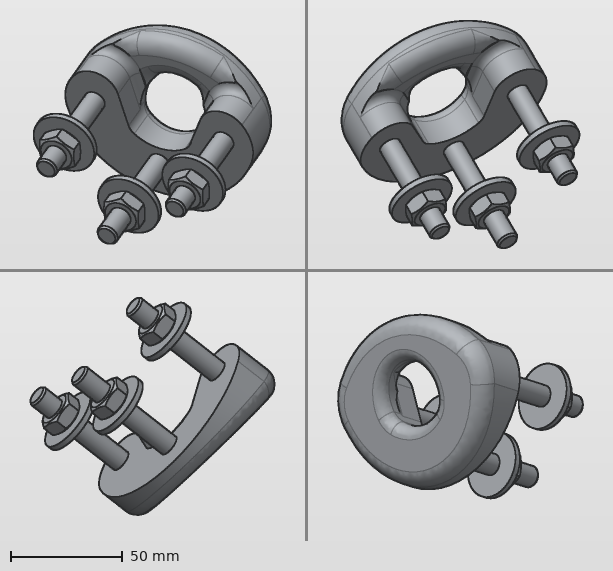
import cadquery as cq
import math


BODY_HEIGHT = 73.6
TOP_RADIUS = 55.0
BOTTOM_RADIUS = 47.5
CORNER_RADIUS = 22.0
TOP_CENTRE = (0, BODY_HEIGHT - TOP_RADIUS)
BOTTOM_CENTRE = (0, BOTTOM_RADIUS)

BACK_SLOPE = 20.3
BACK_Y_AT_BOTTOM = 10.5
BODY_DEPTH = 42.2
BACK_OUTER_FILLET = 8.0
BACK_HOLE_FILLET = 5.5

HOLE_RADIUS = 15.7
HOLE_CENTRE = (0, 37.8)
FLOOR_RADIUS = 21.2
HOLE_CORNER_RADIUS = 7.5

LOOP_FRONT_Y = 16.1
LOOP_ROUND = 8.0
LOOP_ROUND_END = 0.1
OUTER_ROUND_ANGLE = 22.0
OUTER_FADE_ANGLE = 33.5
INNER_ROUND_ANGLE = 34.5
INNER_FADE_ANGLE = 65.0
FADE_STEPS = 4

BOLT_SPACING = 63.8
BOSS_RADIUS = 12.0
BOSS_FILLET = 4.0

UPPER_BOLT_Z = 42.5
LOWER_BOLT_Z = 17.5
BOLT_DIAMETER = 10.0
UPPER_BOLT_LENGTH = 51.2
LOWER_BOLT_LENGTH = 55.2
BOLT_EMBED = 4.7
BOLT_CHAMFER_LENGTH = 1.0
BOLT_CHAMFER_DEPTH = 0.75
WASHER_DIAMETER = 30.0
WASHER_START = 29.6
WASHER_THICKNESS = 2.8
NUT_START = WASHER_START + WASHER_THICKNESS
NUT_HEIGHT = 8.0
NUT_WIDTH = 17.0
NUT_FACE_DIAMETER = 15.3
NUT_CHAMFER_ANGLE = 30.0
NUT_TURN = 2.2

MARGIN = 0.9
CLEARANCE = 18.8


def mirrored(point):
    return -point[0], point[1]


def polar(centre, radius, degrees):
    """Point of a circle at an angle from the +Z direction toward +X."""
    angle = math.radians(degrees)
    return centre[0] + radius * math.sin(angle), centre[1] + radius * math.cos(angle)


def bearing(start, end):
    """Angle from the +Z direction toward +X of the line from start to end."""
    return math.degrees(math.atan2(end[0] - start[0], end[1] - start[1]))


def blend_centre(centre_a, reach_a, centre_b, reach_b):
    """Point on the +X side at the given distances from two points of the symmetry axis."""
    za, zb = centre_a[1], centre_b[1]
    z = (reach_a**2 - reach_b**2 - za**2 + zb**2) / (2 * (zb - za))
    return math.sqrt(reach_a**2 - (z - za) ** 2), z


def oval_prism(top_centre, top_radius, low_centre, low_radius, corner_radius):
    """Prism from the mounting face back, with tangent corner arcs between its top and low arcs."""
    corner = blend_centre(
        top_centre, top_radius - corner_radius, low_centre, low_radius - corner_radius
    )
    top_angle = bearing(top_centre, corner)
    low_angle = bearing(low_centre, corner)
    top_end = polar(top_centre, top_radius, top_angle)
    low_end = polar(low_centre, low_radius, low_angle)
    corner_middle = polar(corner, corner_radius, (top_angle + low_angle) / 2)
    return (
        cq.Workplane("XZ")
        .moveTo(*mirrored(top_end))
        .threePointArc(polar(top_centre, top_radius, 0), top_end)
        .threePointArc(corner_middle, low_end)
        .threePointArc(polar(low_centre, low_radius, 180), mirrored(low_end))
        .threePointArc(mirrored(corner_middle), mirrored(top_end))
        .close()
        .extrude(-BODY_DEPTH)
    )


def make_blank():
    """Body with its opening, before the front is cut away above the bosses."""
    run = math.tan(math.radians(BACK_SLOPE))
    low_z = -CLEARANCE
    high_z = BODY_HEIGHT + CLEARANCE
    front_side = (
        cq.Workplane("YZ")
        .moveTo(-CLEARANCE, low_z)
        .lineTo(BACK_Y_AT_BOTTOM + low_z * run, low_z)
        .lineTo(BACK_Y_AT_BOTTOM + high_z * run, high_z)
        .lineTo(-CLEARANCE, high_z)
        .close()
        .extrude(2 * BOTTOM_RADIUS, both=True)
    )
    outside = oval_prism(TOP_CENTRE, TOP_RADIUS, BOTTOM_CENTRE, BOTTOM_RADIUS, CORNER_RADIUS)
    opening = oval_prism(HOLE_CENTRE, HOLE_RADIUS, BOTTOM_CENTRE, FLOOR_RADIUS, HOLE_CORNER_RADIUS)
    blank = outside.intersect(front_side).faces(">Y").edges().fillet(BACK_OUTER_FILLET)
    blank = blank.cut(opening)
    slope = math.radians(BACK_SLOPE)
    backward = cq.Vector(0, math.cos(slope), -math.sin(slope))
    back_face = blank.faces(cq.selectors.DirectionMinMaxSelector(backward, True))
    hole_edges = back_face.val().innerWires()[0].Edges()
    return blank.newObject(hole_edges).fillet(BACK_HOLE_FILLET)


def make_relief():
    """Space in front of the loop, rounded where it meets the bosses."""
    boss_x = BOLT_SPACING / 2
    boss_reach = TOP_RADIUS - BOSS_RADIUS
    boss = (boss_x, TOP_CENTRE[1] + math.sqrt(boss_reach**2 - boss_x**2))
    outer_angle = bearing(TOP_CENTRE, boss)
    outer_end = polar(boss, BOSS_RADIUS, outer_angle)
    outside = polar(outer_end, CLEARANCE, outer_angle + 90)
    above = (outside[0], BODY_HEIGHT + CLEARANCE)

    corner = blend_centre(
        HOLE_CENTRE,
        HOLE_RADIUS - HOLE_CORNER_RADIUS,
        BOTTOM_CENTRE,
        FLOOR_RADIUS - HOLE_CORNER_RADIUS,
    )
    span = math.hypot(boss[0] - corner[0], boss[1] - corner[1])
    swing = math.degrees(math.acos((HOLE_CORNER_RADIUS + BOSS_RADIUS) / span))
    flank_normal = bearing(corner, boss) + swing
    flank_low = polar(corner, HOLE_CORNER_RADIUS, flank_normal)
    flank_high = polar(boss, BOSS_RADIUS, flank_normal + 180)
    crown = polar(boss, BOSS_RADIUS, 0)

    relief = (
        cq.Workplane("XZ", origin=(0, -CLEARANCE, 0))
        .moveTo(*mirrored(flank_low))
        .lineTo(*flank_low)
        .lineTo(*flank_high)
        .threePointArc(crown, outer_end)
        .lineTo(*outside)
        .lineTo(*above)
        .lineTo(*mirrored(above))
        .lineTo(*mirrored(outside))
        .lineTo(*mirrored(outer_end))
        .threePointArc(mirrored(crown), mirrored(flank_high))
        .close()
        .extrude(-(LOOP_FRONT_Y + CLEARANCE))
    )
    back_edges = relief.faces(">Y").edges()
    boss_edges = back_edges.filter(
        lambda edge: edge.Center().z < BODY_HEIGHT and abs(edge.Center().x) > MARGIN
    )
    return relief.newObject(boss_edges.vals()).fillet(BOSS_FILLET)


def round_section(centre, radius, inward, degrees, height):
    """Waste in front of a rounded loop edge, in the radial plane at an angle from +Z.

    inward is -1 where the loop lies inside the circle and 1 where it lies outside. The rounding
    is LOOP_ROUND wide on the front face and takes the given height from the wall.
    """

    def place(depth, y):
        x, z = polar(centre, radius + inward * depth, degrees)
        return cq.Vector(x, y, z)

    x, z = polar((0, 0), -inward, degrees)
    to_wall = cq.Vector(x, 0, z)
    forward = cq.Vector(0, -1, 0)
    rounding = cq.Edge.makeEllipse(
        LOOP_ROUND,
        height,
        place(LOOP_ROUND, LOOP_FRONT_Y + height),
        to_wall.cross(forward),
        to_wall,
        angle1=0,
        angle2=90,
    )
    back = LOOP_FRONT_Y + height
    front = LOOP_FRONT_Y - MARGIN
    corners = [
        place(LOOP_ROUND, LOOP_FRONT_Y),
        place(LOOP_ROUND, front),
        place(-MARGIN, front),
        place(-MARGIN, back),
        place(0, back),
    ]
    lines = [cq.Edge.makeLine(start, end) for start, end in zip(corners, corners[1:])]
    return cq.Wire.assembleEdges([rounding] + lines)


def edge_round(centre, radius, inward, full_angle, fade_angle):
    """Waste of one rounded loop edge: full over the top, fading out toward each boss."""
    section = round_section(centre, radius, inward, -full_angle, LOOP_ROUND)
    axis_start = cq.Vector(centre[0], 0, centre[1])
    axis_end = axis_start + cq.Vector(0, 0.9, 0)
    parts = [cq.Solid.revolve(section, [], 2 * full_angle, axis_start, axis_end)]
    for side in (-1, 1):
        sections = []
        for step in range(FADE_STEPS + 1):
            share = step / FADE_STEPS
            angle = full_angle + share * (fade_angle - full_angle)
            height = LOOP_ROUND + share * (LOOP_ROUND_END - LOOP_ROUND)
            sections.append(round_section(centre, radius, inward, side * angle, height))
        parts.append(cq.Solid.makeLoft(sections))
    return parts


def make_fastener(x, z, bolt_length):
    """Bolt standing out of the mounting face, with its washer and nut."""
    axis = cq.Workplane("XZ", origin=(x, 0, z))
    bolt = (
        axis.workplane(offset=-BOLT_EMBED)
        .circle(BOLT_DIAMETER / 2)
        .extrude(BOLT_EMBED + bolt_length)
        .faces("<Y")
        .chamfer(BOLT_CHAMFER_LENGTH, BOLT_CHAMFER_DEPTH)
    )
    washer = axis.workplane(offset=WASHER_START).circle(WASHER_DIAMETER / 2).extrude(WASHER_THICKNESS)

    corner_radius = NUT_WIDTH / 2 / math.cos(math.radians(30))
    face_radius = NUT_FACE_DIAMETER / 2
    chamfer = (corner_radius - face_radius) * math.tan(math.radians(NUT_CHAMFER_ANGLE))
    hexagon = (
        axis.workplane(offset=NUT_START)
        .transformed(rotate=(0, 0, 90 + NUT_TURN))
        .polygon(6, 2 * corner_radius)
        .extrude(NUT_HEIGHT)
    )
    envelope = (
        axis.workplane(offset=NUT_START)
        .circle(corner_radius)
        .extrude(NUT_HEIGHT)
        .faces("<Y or >Y")
        .chamfer(chamfer, corner_radius - face_radius)
    )
    return bolt.union(washer).union(hexagon.intersect(envelope))


def make_rounding_waste(relief):
    """Waste of both rounded front edges of the loop, kept clear of the bosses and their fillets."""
    loop_region = (
        relief.faces(">Y").wires().toPending().workplane().extrude(BODY_DEPTH, both=True, combine=False)
    )
    parts = edge_round(TOP_CENTRE, TOP_RADIUS, -1, OUTER_ROUND_ANGLE, OUTER_FADE_ANGLE)
    parts += edge_round(HOLE_CENTRE, HOLE_RADIUS, 1, INNER_ROUND_ANGLE, INNER_FADE_ANGLE)
    return [loop_region.intersect(cq.Workplane(part)) for part in parts]


relief = make_relief()
result = make_blank().cut(relief)
for waste in make_rounding_waste(relief):
    result = result.cut(waste)

for x, z, length in (
    (-BOLT_SPACING / 2, UPPER_BOLT_Z, UPPER_BOLT_LENGTH),
    (BOLT_SPACING / 2, UPPER_BOLT_Z, UPPER_BOLT_LENGTH),
    (0, LOWER_BOLT_Z, LOWER_BOLT_LENGTH),
):
    result = result.union(make_fastener(x, z, length))